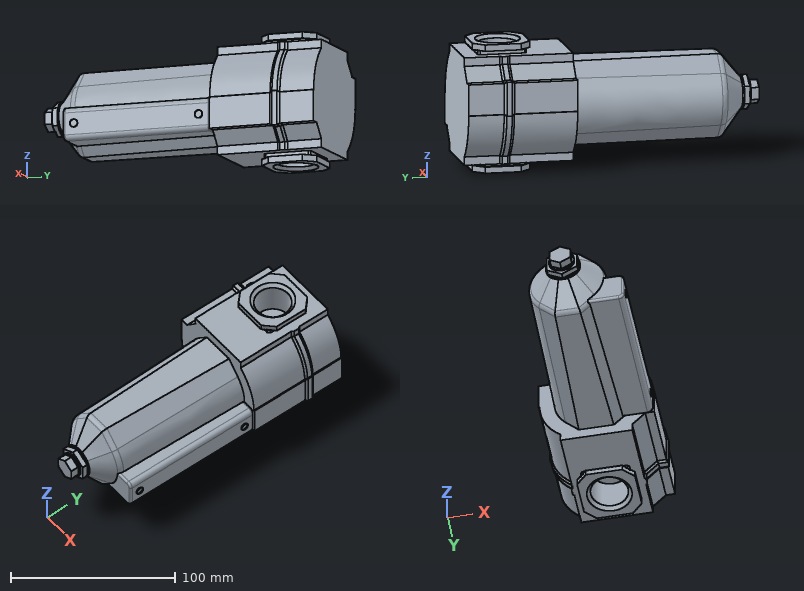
import cadquery as cq
import math


HEAD_BACK_Y = 25.2
HEAD_LENGTH = 67.8
HEAD_HALF_HEIGHT = 33.5
HEAD_ARC_REACH = 35.3
HEAD_ARC_RADIUS = 37.0
HEAD_FLAT_HALF_WIDTH = 22.2
PAD_REACH = 35.8
PAD_TOP_Z = 19.5
PAD_INNER_X = 30.2

BAND_HEIGHT = 1.0
BAND_BASE_HALF = 3.2
BAND_TIP_HALF = 1.7

PORT_TOP_Z = 40.0
FLANGE_SIZE = 35.8
FLANGE_CHAMFER = 6.7
FLANGE_THICKNESS = 4.0
NECK_SIZE = 30.2
NECK_CHAMFER = 1.3
PORT_RADIUS = 11.5
PORT_CHAMFER = 2.2
PORT_DEPTH = 22.4

BOWL_HALF_HEIGHT = 26.1
BOWL_TOP_RADIUS = 26.0
BOWL_TOP_FLAT_HALF = 10.8
BOWL_RIM_RADIUS = 24.0
BOWL_RIM_FLAT_HALF = 7.8
BOWL_WALL_LENGTH = 92.5
RIM_ROUND_RADIUS = 5.0
RIM_TURN = 45.0
RIM_STEPS = 4
RIM_FLAT_TAPER = 0.4
BOWL_LENGTH = 108.0
CONE_END_RADIUS = 10.6
CONE_END_HALF_HEIGHT = 10.0
CONE_END_FLAT_HALF = 3.0
ARC_CORNER_SHARE = 0.745

GAUGE_INNER_X = 7.5
GAUGE_OUTER_X = 35.1
GAUGE_TOP_Z = 0.2
GAUGE_BOTTOM_Z = -20.2
GAUGE_LENGTH = 96.0
GAUGE_SIDE_FILLET = 3.4
GAUGE_END_FILLET = 1.5
SCREW_HEAD_RADIUS = 2.5
SCREW_HEAD_HEIGHT = 0.5
SCREW_HEAD_INSET = 7.3

SEAT_LENGTH = 1.1
COLLAR_LENGTH = 3.5
COLLAR_ACROSS_FLATS = 18.9
WASHER_LENGTH = 1.1
WASHER_RADIUS = 7.8
KNOB_ACROSS_FLATS = 12.9

TOTAL_LENGTH = 186.7

HEAD_FRONT_Y = HEAD_BACK_Y - HEAD_LENGTH
BOWL_RIM_Y = HEAD_FRONT_Y - BOWL_WALL_LENGTH
CONE_END_Y = HEAD_FRONT_Y - BOWL_LENGTH
DRAIN_END_Y = HEAD_BACK_Y - TOTAL_LENGTH


def section_plane(y):
    """Plane across the filter axis at y: local x is X, local y is Z, normal is -Y."""
    return cq.Workplane("XZ", origin=(0, y, 0))


def head_outline(y, grow=0.0):
    """Head section at y, with its sides moved outwards by grow; same after half a turn about Y."""
    top = HEAD_HALF_HEIGHT
    pad_x = PAD_REACH + grow
    flat_x = HEAD_FLAT_HALF_WIDTH + grow
    radius = HEAD_ARC_RADIUS + grow
    arc_center_x = HEAD_ARC_REACH - HEAD_ARC_RADIUS
    arc_start_angle = math.asin(grow / radius)
    arc_end_angle = math.acos((flat_x - arc_center_x) / radius)

    def arc_point(angle):
        return (arc_center_x + radius * math.cos(angle), radius * math.sin(angle))

    arc_start = arc_point(arc_start_angle)
    arc_mid = arc_point((arc_start_angle + arc_end_angle) / 2)
    arc_z = arc_point(arc_end_angle)[1]
    ledge = (PAD_INNER_X + grow / 2, PAD_TOP_Z + grow)
    return (
        section_plane(y)
        .moveTo(-flat_x, top)
        .lineTo(flat_x, top)
        .lineTo(flat_x, arc_z)
        .threePointArc(arc_mid, arc_start)
        .lineTo(pad_x, arc_start[1])
        .lineTo(pad_x, -ledge[1])
        .lineTo(ledge[0], -ledge[1])
        .lineTo(flat_x, -arc_z)
        .lineTo(flat_x, -top)
        .lineTo(-flat_x, -top)
        .lineTo(-flat_x, -arc_z)
        .threePointArc((-arc_mid[0], -arc_mid[1]), (-arc_start[0], -arc_start[1]))
        .lineTo(-pad_x, -arc_start[1])
        .lineTo(-pad_x, ledge[1])
        .lineTo(-ledge[0], ledge[1])
        .lineTo(-flat_x, arc_z)
        .close()
    )


def ruled_loft(start, end):
    """Straight-sided solid between two closed section outlines."""
    wires = [start.wire().val(), end.wire().val()]
    return cq.Workplane(obj=cq.Solid.makeLoft(wires, True))


def make_band():
    """Raised band with bevelled flanks, centred on the port axis."""
    band = head_outline(BAND_TIP_HALF, BAND_HEIGHT).extrude(2 * BAND_TIP_HALF)
    for side in (1, -1):
        tip = head_outline(side * BAND_TIP_HALF, BAND_HEIGHT)
        base = head_outline(side * BAND_BASE_HALF)
        band = band.union(ruled_loft(tip, base))
    return band


def chamfered_square(size, chamfer, bottom_z, top_z):
    """Square block on the port axis with its four upright edges chamfered."""
    block = cq.Workplane("XY", origin=(0, 0, bottom_z)).rect(size, size).extrude(top_z - bottom_z)
    return block.edges("|Z").chamfer(chamfer)


def make_port_boss():
    """Upper port: square neck under an eight-sided flange."""
    flange_bottom_z = PORT_TOP_Z - FLANGE_THICKNESS
    neck = chamfered_square(NECK_SIZE, NECK_CHAMFER, HEAD_HALF_HEIGHT, flange_bottom_z)
    flange = chamfered_square(FLANGE_SIZE, FLANGE_CHAMFER, flange_bottom_z, PORT_TOP_Z)
    return neck.union(flange)


def make_port_bore():
    """Blind bore of the upper port with a conical mouth."""
    mouth_radius = PORT_RADIUS + PORT_CHAMFER
    floor_z = PORT_TOP_Z - PORT_DEPTH
    half_section = [
        (0, PORT_TOP_Z),
        (mouth_radius, PORT_TOP_Z),
        (PORT_RADIUS, PORT_TOP_Z - PORT_CHAMFER),
        (PORT_RADIUS, floor_z),
        (0, floor_z),
    ]
    return cq.Workplane("XZ").polyline(half_section).close().revolve(360, (0, 0), (0, 1))


def make_head():
    head = head_outline(HEAD_BACK_Y).extrude(HEAD_LENGTH).union(make_band())
    boss = make_port_boss()
    bore = make_port_bore()
    for turn in (0, 180):
        head = head.union(boss.rotate((0, 0, 0), (0, 1, 0), turn))
        head = head.cut(bore.rotate((0, 0, 0), (0, 1, 0), turn))
    return head


def bowl_outline(y, radius, half_height, flat_half):
    """Bowl section: flats above and below, sloped corners, and a round arc on each side."""
    corner_x = ARC_CORNER_SHARE * radius
    corner_z = math.sqrt(radius**2 - corner_x**2)
    return (
        section_plane(y)
        .moveTo(-flat_half, half_height)
        .lineTo(flat_half, half_height)
        .lineTo(corner_x, corner_z)
        .threePointArc((radius, 0), (corner_x, -corner_z))
        .lineTo(flat_half, -half_height)
        .lineTo(-flat_half, -half_height)
        .lineTo(-corner_x, -corner_z)
        .threePointArc((-radius, 0), (-corner_x, corner_z))
        .close()
    )


def rim_outline(angle):
    """Bowl section where the rounded rim has turned in by angle from the wall."""
    y = BOWL_RIM_Y - RIM_ROUND_RADIUS * math.sin(angle)
    inset = RIM_ROUND_RADIUS * (1 - math.cos(angle))
    flat_half = BOWL_RIM_FLAT_HALF - RIM_FLAT_TAPER * inset
    return bowl_outline(y, BOWL_RIM_RADIUS - inset, BOWL_HALF_HEIGHT - inset, flat_half)


def rounded_rim():
    """Rounding that eases the wall into the end cone."""
    wires = []
    for step in range(RIM_STEPS + 1):
        angle = math.radians(RIM_TURN * step / RIM_STEPS)
        wires.append(rim_outline(angle).wire().val())
    return cq.Workplane(obj=cq.Solid.makeLoft(wires))


def make_bowl_shell():
    """Drafted wall, rounded rim and end cone."""
    top = bowl_outline(HEAD_FRONT_Y, BOWL_TOP_RADIUS, BOWL_HALF_HEIGHT, BOWL_TOP_FLAT_HALF)
    end = bowl_outline(CONE_END_Y, CONE_END_RADIUS, CONE_END_HALF_HEIGHT, CONE_END_FLAT_HALF)
    wall = ruled_loft(top, rim_outline(0))
    cone = ruled_loft(rim_outline(math.radians(RIM_TURN)), end)
    return wall.union(rounded_rim()).union(cone)


def make_gauge_housing():
    """Rounded box along the +X side of the bowl, with a low screw head near each end."""
    width = GAUGE_OUTER_X - GAUGE_INNER_X
    height = GAUGE_TOP_Z - GAUGE_BOTTOM_Z
    middle_x = (GAUGE_OUTER_X + GAUGE_INNER_X) / 2
    middle_z = (GAUGE_TOP_Z + GAUGE_BOTTOM_Z) / 2
    outline = section_plane(HEAD_FRONT_Y).center(middle_x, middle_z).rect(width, height)
    housing = outline.extrude(GAUGE_LENGTH)
    housing = housing.edges("|Y and >X").fillet(GAUGE_SIDE_FILLET)
    housing = housing.faces("<Y or >Y").edges("not <X").fillet(GAUGE_END_FILLET)
    for inset in (SCREW_HEAD_INSET, GAUGE_LENGTH - SCREW_HEAD_INSET):
        seat = cq.Workplane("YZ", origin=(GAUGE_OUTER_X, HEAD_FRONT_Y - inset, middle_z))
        housing = housing.union(seat.circle(SCREW_HEAD_RADIUS).extrude(SCREW_HEAD_HEIGHT))
    return housing


def make_bowl():
    return make_bowl_shell().union(make_gauge_housing())


def hexagon_bar(y, across_flats, length):
    """Hexagonal bar from y towards -Y, with corners up and down and flats facing X."""
    across_corners = across_flats / math.cos(math.radians(30))
    bar = section_plane(y).polygon(6, across_corners).extrude(length)
    return bar.rotate((0, 0, 0), (0, 1, 0), 90)


def make_drain():
    """Drain cock: round seat, hexagonal collar, washer and hexagonal knob."""
    collar_y = CONE_END_Y - SEAT_LENGTH
    washer_y = collar_y - COLLAR_LENGTH
    knob_y = washer_y - WASHER_LENGTH
    seat = section_plane(CONE_END_Y).circle(CONE_END_RADIUS).extrude(SEAT_LENGTH)
    collar = hexagon_bar(collar_y, COLLAR_ACROSS_FLATS, COLLAR_LENGTH)
    washer = section_plane(washer_y).circle(WASHER_RADIUS).extrude(WASHER_LENGTH)
    knob = hexagon_bar(knob_y, KNOB_ACROSS_FLATS, knob_y - DRAIN_END_Y)
    return seat.union(collar).union(washer).union(knob)


head = make_head()
bowl = make_bowl()
drain = make_drain()

result = cq.Compound.makeCompound([head.solids().val(), bowl.solids().val(), drain.solids().val()])